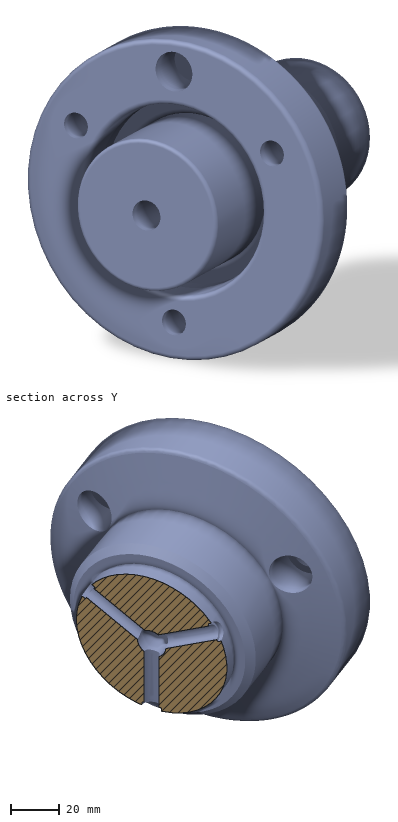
import cadquery as cq
import math


overall_length = 147.0
spigot_reach = 25.0
housing_length = overall_length - spigot_reach
nose_cone_length = 40.1
neck_length = 23.1
shoulder_y = housing_length - nose_cone_length - neck_length
cone_top_y = 31.0

flange_diameter = 137.2
flange_radius = flange_diameter / 2
collar_radius = 43.0
neck_radius = 35.0
nose_tip_radius = 30.0
flange_cone_angle = 15.0
collar_chamfer = 3.2
nose_fillet = 5.0
edge_fillet = 2.0

recess_mouth_radius = 41.2
recess_floor_radius = 40.0
recess_taper_depth = 10.0
recess_depth = 17.3

spigot_radius = 32.5
spigot_fillet = 1.6
socket_end_y = cone_top_y
axial_hole_radius = 6.5

bolt_angles = (30.0, 150.0, 270.0)
bolt_circle_radius = 52.5
bolt_hole_diameter = 11.0
bolt_hole_radius = bolt_hole_diameter / 2
bolt_head_radius = 9.0
bolt_grip = 14.7

locating_hole_radius = 8.5
locating_hole_height = 55.4
locating_hole_depth = recess_depth

radial_hole_y = 66.0
radial_hole_radius = 3.4
radial_recess_radius = 4.4
radial_recess_depth = 2.0

tolerance = 0.001


def revolved(points):
    """Solid of revolution about Y from (radius, y) points."""
    return cq.Workplane("XY").polyline(points).close().revolve(360, (0, 0), (0, 1))


def cylinder(radius, start, length, direction):
    """Cylinder that begins at a point and runs along a direction."""
    solid = cq.Solid.makeCylinder(radius, length, cq.Vector(*start), cq.Vector(*direction))
    return cq.Workplane(obj=solid)


def y_cylinder(radius, start_y, end_y, x=0, z=0):
    """Cylinder parallel to the Y axis."""
    return cylinder(radius, (x, start_y, z), end_y - start_y, (0, 1, 0))


def round_rim(body, radius, y, fillet):
    """Fillet the circular edge around the Y axis with the given radius and Y position."""
    rim_centre = cq.Vector(0, y, 0)
    rims = []
    for edge in body.edges("%CIRCLE").vals():
        same_centre = (edge.arcCenter() - rim_centre).Length < tolerance
        if same_centre and abs(edge.radius() - radius) < tolerance:
            rims.append(edge)
    return body.newObject(rims).fillet(fillet)


def polar_point(radius, angle):
    """X and Z of a point around the Y axis, with the angle measured from +X toward +Z."""
    turn = math.radians(angle)
    return radius * math.cos(turn), radius * math.sin(turn)


def housing_outside():
    cone_drop = (flange_radius - collar_radius) * math.tan(math.radians(flange_cone_angle))
    flange_back_y = cone_top_y - cone_drop
    body = revolved([
        (0, 0),
        (flange_radius, 0),
        (flange_radius, flange_back_y),
        (collar_radius, cone_top_y),
        (collar_radius, shoulder_y - collar_chamfer),
        (collar_radius - collar_chamfer, shoulder_y),
        (neck_radius, shoulder_y),
        (neck_radius, shoulder_y + neck_length),
        (nose_tip_radius, housing_length),
        (0, housing_length),
    ])
    body = round_rim(body, flange_radius, 0, edge_fillet)
    body = round_rim(body, flange_radius, flange_back_y, edge_fillet)
    return round_rim(body, nose_tip_radius, housing_length, nose_fillet)


def cut_recess_and_socket(body):
    cavity = revolved([
        (0, 0),
        (recess_mouth_radius, 0),
        (recess_floor_radius, recess_taper_depth),
        (recess_floor_radius, recess_depth),
        (spigot_radius, recess_depth),
        (spigot_radius, socket_end_y),
        (0, socket_end_y),
    ])
    body = body.cut(cavity)
    body = round_rim(body, recess_mouth_radius, 0, edge_fillet)
    body = round_rim(body, spigot_radius, recess_depth, edge_fillet)
    return body.cut(y_cylinder(axial_hole_radius, socket_end_y, housing_length))


def cut_bolt_holes(body):
    for angle in bolt_angles:
        x, z = polar_point(bolt_circle_radius, angle)
        body = body.cut(y_cylinder(bolt_hole_radius, 0, bolt_grip, x, z))
        body = body.cut(y_cylinder(bolt_head_radius, bolt_grip, cone_top_y, x, z))
    return body


def cut_locating_hole(body):
    return body.cut(y_cylinder(locating_hole_radius, 0, locating_hole_depth, z=locating_hole_height))


def cut_radial_holes(body):
    for angle in bolt_angles:
        x, z = polar_point(1, angle)
        outward = (x, 0, z)
        floor_x, floor_z = polar_point(neck_radius - radial_recess_depth, angle)
        recess = cylinder(radial_recess_radius, (floor_x, radial_hole_y, floor_z), neck_radius, outward)
        hole = cylinder(radial_hole_radius, (0, radial_hole_y, 0), neck_radius, outward)
        body = body.cut(recess).cut(hole)
    return body


def make_housing():
    body = housing_outside()
    body = cut_recess_and_socket(body)
    body = cut_bolt_holes(body)
    body = cut_locating_hole(body)
    return cut_radial_holes(body)


def make_spigot():
    body = y_cylinder(spigot_radius, -spigot_reach, socket_end_y)
    body = body.faces("<Y").edges().fillet(spigot_fillet)
    return body.cut(y_cylinder(axial_hole_radius, -spigot_reach, socket_end_y))


housing = make_housing()
spigot = make_spigot()

result = cq.Compound.makeCompound([housing.val(), spigot.val()])